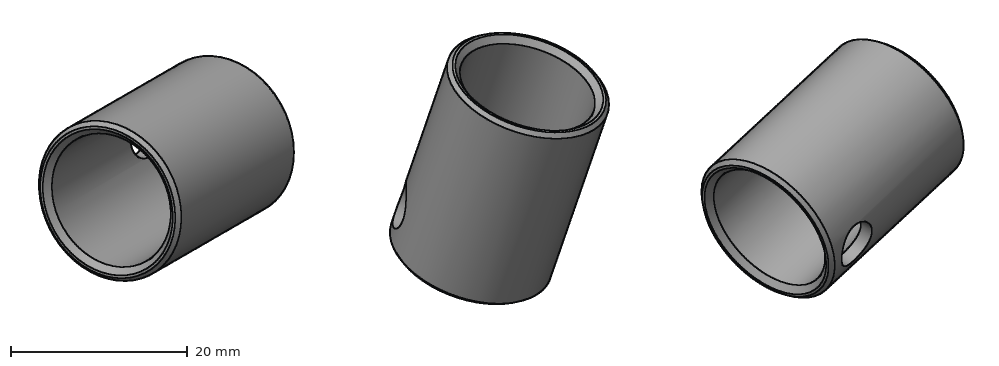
import cadquery as cq

length = 24.9
outer_diameter = 19.05
bore_diameter = 15.88

outer_chamfer = 0.5
inner_chamfer = 0.75

side_hole_diameter = 5.6
side_hole_end_distance = 4.58


def chamfered_tube():
    """Straight tube with both ends chamfered outside and inside."""
    outside = (
        cq.Workplane("XZ", origin=(0, length / 2, 0))
        .circle(outer_diameter / 2)
        .extrude(length)
        .faces("<Y or >Y")
        .chamfer(outer_chamfer)
    )
    bored = outside.faces("<Y").workplane().hole(bore_diameter)
    bore_edges = cq.selectors.RadiusNthSelector(0)
    return bored.faces("<Y or >Y").edges(bore_edges).chamfer(inner_chamfer)


def side_hole_cutter():
    """Cylinder from the sleeve axis out through the -X wall."""
    hole_y = length / 2 - side_hole_end_distance
    return (
        cq.Workplane("YZ")
        .center(hole_y, 0)
        .circle(side_hole_diameter / 2)
        .extrude(-outer_diameter)
    )


result = chamfered_tube().cut(side_hole_cutter())